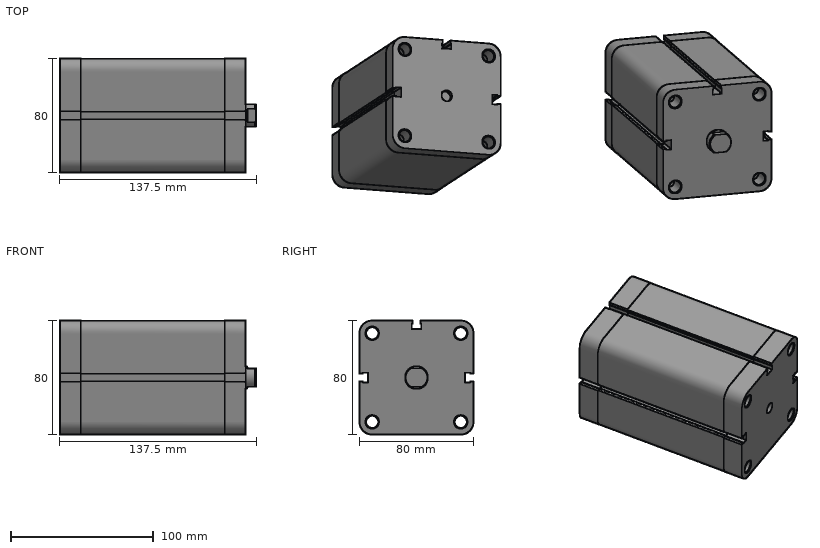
import cadquery as cq
import math

side = 80.0
half_side = side / 2
tube_recess = 0.1
tube_side = side - 2 * tube_recess
corner_radius = 9.0
body_length = 130.1
cap_length = 14.6
tube_length = body_length - 2 * cap_length
front_cap_start = body_length - cap_length

hole_offset = half_side - corner_radius
hole_diameter = 8.4
hole_chamfer = 0.6

tube_mouth_width = 5.0
cap_mouth_width = 5.8
tube_slot_width = 6.6
cap_slot_width = 6.8
lip_depth = 2.5
tube_slot_depth = 6.0
cap_slot_depth = 6.2
slot_angles = (-90, 0, 90)

recess_diameter = 7.8
recess_depth = 3.8

rod_diameter = 16.0
rod_radius = rod_diameter / 2
rod_projection = 7.4
rod_end = body_length + rod_projection
rod_tip_chamfer_length = 0.9
rod_tip_chamfer_height = 0.4
flat_half_width = 6.5
flat_setback = 1.5
flat_start = body_length + flat_setback
shoulder_angle = 65.0


def block(start, length, width, edge_radius):
    """Square block with rounded long edges, running along X from start."""
    return (
        cq.Workplane("YZ", origin=(start, 0, 0))
        .rect(width, width)
        .extrude(length)
        .edges("|X")
        .fillet(edge_radius)
    )


def slot_cutter(start, length, mouth_width, slot_width, depth):
    """T-slots opening on the top and on both sides."""
    half_mouth = mouth_width / 2
    half_slot = slot_width / 2
    lip_level = half_side - lip_depth
    floor_level = half_side - depth
    top_slot = (
        cq.Workplane("YZ", origin=(start, 0, 0))
        .moveTo(half_mouth, half_side)
        .lineTo(half_mouth, lip_level)
        .lineTo(half_slot, lip_level)
        .lineTo(half_slot, floor_level)
        .lineTo(-half_slot, floor_level)
        .lineTo(-half_slot, lip_level)
        .lineTo(-half_mouth, lip_level)
        .lineTo(-half_mouth, half_side)
        .close()
        .extrude(length)
    )
    cutter = cq.Workplane("YZ")
    for angle in slot_angles:
        cutter = cutter.add(top_slot.rotate((0, 0, 0), (1, 0, 0), angle))
    return cutter.combine()


def corner_holes(start, length):
    """Four cylinders on the corner centres."""
    return (
        cq.Workplane("YZ", origin=(start, 0, 0))
        .rect(2 * hole_offset, 2 * hole_offset, forConstruction=True)
        .vertices()
        .circle(hole_diameter / 2)
        .extrude(length)
    )


def make_tube():
    """Profile tube, a hair smaller than the caps all round."""
    tube = block(cap_length, tube_length, tube_side, corner_radius - tube_recess)
    tube = tube.cut(
        slot_cutter(cap_length, tube_length, tube_mouth_width, tube_slot_width, tube_slot_depth)
    )
    return tube.cut(corner_holes(cap_length, tube_length))


def make_cap(start, outer_face):
    """End cap whose corner holes are chamfered on the outer face."""
    cap = block(start, cap_length, side, corner_radius)
    cap = cap.cut(corner_holes(start, cap_length))
    hole_rims = cap.faces(outer_face).edges("%CIRCLE").edges(cq.selectors.RadiusNthSelector(0))
    cap = hole_rims.chamfer(hole_chamfer)
    return cap.cut(slot_cutter(start, cap_length, cap_mouth_width, cap_slot_width, cap_slot_depth))


def make_rear_cap():
    """Rear end cap with the centring recess."""
    recess = cq.Workplane("YZ").circle(recess_diameter / 2).extrude(recess_depth)
    return make_cap(0, "<X").cut(recess)


def make_front_cap():
    """Front end cap bored for the piston rod."""
    rod_bore = (
        cq.Workplane("YZ", origin=(front_cap_start, 0, 0)).circle(rod_radius).extrude(cap_length)
    )
    return make_cap(front_cap_start, ">X").cut(rod_bore)


def make_rod():
    """Rod through the front cap, with two wrench flats facing up and down."""
    rod = (
        cq.Workplane("XZ")
        .moveTo(front_cap_start, 0)
        .lineTo(front_cap_start, rod_radius)
        .lineTo(rod_end - rod_tip_chamfer_length, rod_radius)
        .lineTo(rod_end, rod_radius - rod_tip_chamfer_height)
        .lineTo(rod_end, 0)
        .close()
        .revolve(360, (0, 0, 0), (1, 0, 0))
    )
    shoulder_run = (rod_radius - flat_half_width) / math.tan(math.radians(shoulder_angle))
    upper_flat = (
        cq.Workplane("XZ")
        .moveTo(flat_start, flat_half_width)
        .lineTo(flat_start - shoulder_run, rod_radius)
        .lineTo(rod_end, rod_radius)
        .lineTo(rod_end, flat_half_width)
        .close()
        .extrude(rod_radius, both=True)
    )
    return rod.cut(upper_flat).cut(upper_flat.mirror("XY"))


tube = make_tube()
rear_cap = make_rear_cap()
front_cap = make_front_cap()
rod = make_rod()

result = cq.Compound.makeCompound(
    [body.solids().val() for body in (tube, rear_cap, front_cap, rod)]
)